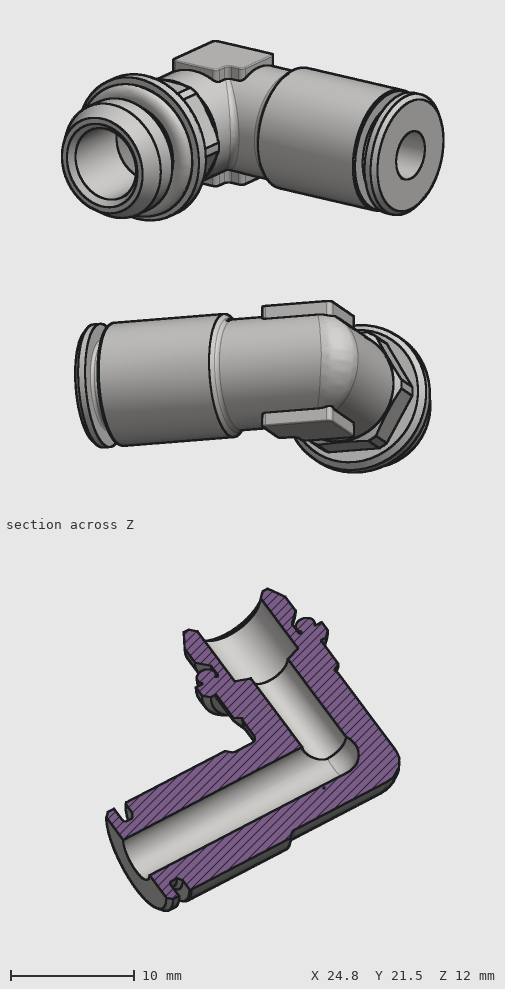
import cadquery as cq
import math


overall_length = 24.8
overall_depth = 21.5
flange_radius = 12.0 / 2

pipe_radius = 9.0 / 2
elbow_outer_fillet = 2.33
elbow_inner_fillet = 0.5

socket_radius = 10.0 / 2
arm_neck_radius = 6.9 / 2
arm_pipe_end = 6.52
arm_blend_radius = 0.52
socket_end = 16.8
socket_rim_length = 0.15
socket_rim_drop = 0.1
release_start = 17.8
arm_end = overall_length - flange_radius
release_chamfer = 0.4
release_fillet = 0.25
arm_neck_cone_length = 0.27
arm_neck_cone_rise = 0.4

stud_end = socket_radius - overall_depth
pipe_lower_end = -6.95
pipe_end_chamfer_length = 0.2
pipe_end_chamfer_depth = 0.1
hex_across_flats = pipe_radius * 2
hex_corner_radius = socket_radius
hex_chamfer_angle = math.radians(30)
flange_top = -9.97
flange_bottom = -11.45
flange_chamfer = 0.52
ring_half_width = 0.82
ring_half_height = 0.67
ring_outer_radius = 11.05 / 2
ring_center = -11.9
thread_radius = 9.6 / 2
stud_end_radius = 8.0 / 2
stud_neck_radius = 7.75 / 2
thread_top = -13.5
thread_bottom = -15.08

leg_bore_radius = 3.5 / 2
arm_bore_radius = 4.0 / 2
stud_bore_radius = 6.0 / 2
stud_mouth_radius = 7.0 / 2
stud_bore_depth = 6.2
stud_bore_cone_angle = math.radians(70)

pad_height = socket_radius
pad_size = 6.0
pad_start = pipe_radius / 2
pad_notch = 1.51
pad_corner_radius = 0.4
pad_edge_fillet = 0.1


def elbow_pipe():
    """Two equal pipes that overshoot the origin and are trimmed to a mitre, before any rounding."""
    reach = 2 * pipe_radius
    arm_plane = cq.Plane(origin=(-reach, 0, 0), xDir=(0, 0, 1), normal=(1, 0, 0))
    leg_plane = cq.Plane(origin=(0, reach, 0), xDir=(0, 0, 1), normal=(0, -1, 0))
    arm = cq.Workplane(arm_plane).circle(pipe_radius).extrude(reach + arm_pipe_end)
    leg = cq.Workplane(leg_plane).circle(pipe_radius).extrude(reach - pipe_lower_end)
    leg = leg.faces("<Y").chamfer(pipe_end_chamfer_length, pipe_end_chamfer_depth)
    mitre = (
        cq.Workplane("XY", origin=(0, 0, -pipe_radius))
        .polyline([(-reach, reach), (2 * reach, reach), (2 * reach, -2 * reach)])
        .close()
        .extrude(2 * pipe_radius)
    )
    return arm.intersect(mitre).union(leg.cut(mitre))


def pad(side):
    """Notched flat pad; side is +1 for the top pad and -1 for the bottom pad."""
    low = -pad_start
    high = low + pad_size
    inner = high - pad_notch
    outline = [(low, -low), (high, -low), (high, -inner), (inner, -inner), (inner, -high), (low, -high)]
    block = cq.Workplane("XY").polyline(outline).close().extrude(side * pad_height)
    block = block.edges("|Z").fillet(pad_corner_radius)
    return block.faces(">Z" if side > 0 else "<Z").edges().fillet(pad_edge_fillet)


def elbow():
    """Pipe elbow with its pads and with both mitre edges rounded."""
    body = elbow_pipe().union(pad(1)).union(pad(-1))
    outer_corner = cq.selectors.NearestToPointSelector((-pipe_radius, pipe_radius, 0))
    inner_corner = cq.selectors.NearestToPointSelector((pipe_radius, -pipe_radius, 0))
    body = body.edges(outer_corner).fillet(elbow_outer_fillet)
    return body.edges(inner_corner).fillet(elbow_inner_fillet)


def socket_arm():
    """Socket, groove and release ring turned about the X axis."""
    blend_length = arm_blend_radius * math.sin(math.radians(45))
    blend_rise = arm_blend_radius - blend_length
    cone_start = arm_pipe_end + blend_length
    cone_start_radius = pipe_radius + blend_rise
    cone_end = cone_start + socket_radius - cone_start_radius
    profile = (
        cq.Workplane("XY")
        .moveTo(arm_pipe_end, 0)
        .lineTo(arm_pipe_end, pipe_radius)
        .radiusArc((cone_start, cone_start_radius), -arm_blend_radius)
        .lineTo(cone_end, socket_radius)
        .lineTo(socket_end - socket_rim_length, socket_radius)
        .lineTo(socket_end, socket_radius - socket_rim_drop)
        .lineTo(socket_end, arm_neck_radius + arm_neck_cone_rise)
        .lineTo(socket_end + arm_neck_cone_length, arm_neck_radius)
        .lineTo(release_start - release_fillet, arm_neck_radius)
        .radiusArc((release_start, arm_neck_radius + release_fillet), -release_fillet)
        .lineTo(release_start, socket_radius)
        .lineTo(arm_end - release_chamfer, socket_radius)
        .lineTo(arm_end, socket_radius - release_chamfer)
        .lineTo(arm_end, 0)
        .close()
    )
    return profile.revolve(360, (0, 0, 0), (1, 0, 0))


def turned_about_y(points):
    """Solid of revolution about the Y axis from a closed (radius, y) outline."""
    return cq.Workplane("XY").polyline(points).close().revolve(360, (0, 0, 0), (0, 1, 0))


def hexagon():
    """Hexagon with turned corners and a conical top chamfer."""
    top_radius = pipe_radius - pipe_end_chamfer_depth
    chamfer_drop = (hex_corner_radius - top_radius) * math.tan(hex_chamfer_angle)
    blank = turned_about_y([
        (0, pipe_lower_end),
        (top_radius, pipe_lower_end),
        (hex_corner_radius, pipe_lower_end - chamfer_drop),
        (hex_corner_radius, flange_top),
        (0, flange_top),
    ])
    across_corners = hex_across_flats / math.cos(math.radians(30))
    prism = (
        cq.Workplane("XZ", origin=(0, pipe_lower_end, 0))
        .polygon(6, across_corners)
        .extrude(pipe_lower_end - flange_top)
    )
    return blank.intersect(prism)


def stud():
    """Flange, neck and thread turned about the Y axis, with the sealing ring."""
    neck_end = thread_top + thread_radius - stud_neck_radius
    body = turned_about_y([
        (0, flange_top),
        (flange_radius - flange_chamfer, flange_top),
        (flange_radius, flange_top - flange_chamfer),
        (flange_radius, flange_bottom),
        (stud_neck_radius, flange_bottom),
        (stud_neck_radius, neck_end),
        (thread_radius, thread_top),
        (thread_radius, thread_bottom),
        (stud_end_radius, stud_end),
        (0, stud_end),
    ])
    section_center = ring_outer_radius - ring_half_width
    section_plane = cq.Plane(origin=(section_center, ring_center, 0), xDir=(-1, 0, 0), normal=(0, 0, 1))
    section = cq.Workplane(section_plane).ellipse(ring_half_width, ring_half_height)
    ring = section.revolve(360, (section_center, 0, 0), (section_center, 1, 0))
    return body.union(ring)


def bores():
    """Stud bore with a conical floor and a narrow bore that meets the ball-ended bore of the arm."""
    mouth_depth = stud_mouth_radius - stud_bore_radius
    floor = stud_end + stud_bore_depth
    cone_end = floor + (stud_bore_radius - leg_bore_radius) / math.tan(stud_bore_cone_angle)
    leg = turned_about_y([
        (0, stud_end),
        (stud_mouth_radius, stud_end),
        (stud_bore_radius, stud_end + mouth_depth),
        (stud_bore_radius, floor),
        (leg_bore_radius, cone_end),
        (leg_bore_radius, 0),
        (0, 0),
    ])
    arm = cq.Workplane("YZ").circle(arm_bore_radius).extrude(arm_end)
    return leg.union(arm).union(cq.Workplane("XY").sphere(arm_bore_radius))


result = elbow().union(socket_arm()).union(hexagon()).union(stud()).cut(bores())